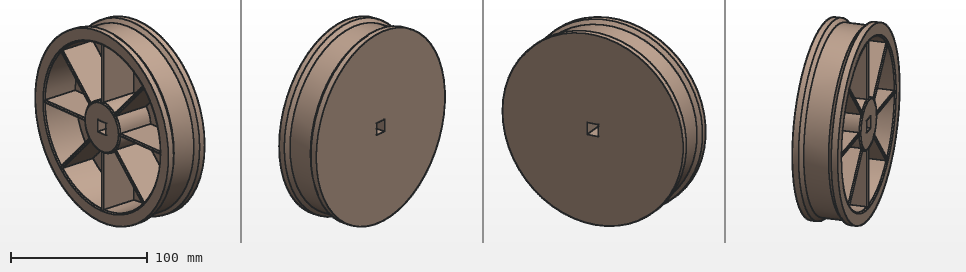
import cadquery as cq

outer_diameter = 150.0
width = 35.0
rim_face_width = 5.0
groove_depth = 3.0
groove_slope_width = 3.0
bore_side = 9.5

pocket_outer_radius = 65.0
hub_radius = 20.0
rib_count = 8
rib_thickness = 2.1
pocket_depth = 30.0
edge_chamfer = rib_thickness / 2

outer_radius = outer_diameter / 2
groove_radius = outer_radius - groove_depth
slope_end = rim_face_width + groove_slope_width


def wheel_blank():
    """Solid wheel with a shallow groove between two sloped flanges."""
    half_section = [
        (0, 0),
        (outer_radius, 0),
        (outer_radius, rim_face_width),
        (groove_radius, slope_end),
        (groove_radius, width - slope_end),
        (outer_radius, width - rim_face_width),
        (outer_radius, width),
        (0, width),
    ]
    return cq.Workplane("XY").polyline(half_section).close().revolve(360, (0, 0, 0), (0, 1, 0))


def pocket_ring():
    """Eight sectors separated by ribs, chamfered outward at the open face."""
    straight_ring = front_cylinder(pocket_outer_radius, pocket_depth).cut(
        front_cylinder(hub_radius, pocket_depth)
    )
    mouth = front_cone(pocket_outer_radius + edge_chamfer, pocket_outer_radius).cut(
        front_cone(hub_radius - edge_chamfer, hub_radius)
    )
    pockets = straight_ring.union(mouth)
    for index in range(rib_count // 2):
        pockets = pockets.cut(rib_pair().rotate((0, 0, 0), (0, 1, 0), index * 360 / rib_count))
    return pockets


def front_cylinder(radius, depth):
    return cq.Workplane("XZ").circle(radius).extrude(-depth)


def front_cone(front_radius, inner_radius):
    """Cone frustum as deep as the edge chamfer, starting at the front face."""
    section = [(0, 0), (front_radius, 0), (inner_radius, edge_chamfer), (0, edge_chamfer)]
    return cq.Workplane("XY").polyline(section).close().revolve(360, (0, 0, 0), (0, 1, 0))


def rib_pair():
    """Two opposite ribs as one bar along Z, with a sharp crest at the front face."""
    half_thickness = rib_thickness / 2
    section = [
        (0, 0),
        (half_thickness, edge_chamfer),
        (half_thickness, pocket_depth),
        (-half_thickness, pocket_depth),
        (-half_thickness, edge_chamfer),
    ]
    return cq.Workplane("XY").polyline(section).close().extrude(outer_radius, both=True)


bore = cq.Workplane("XZ").rect(bore_side, bore_side).extrude(-width)

result = wheel_blank().cut(pocket_ring()).cut(bore)